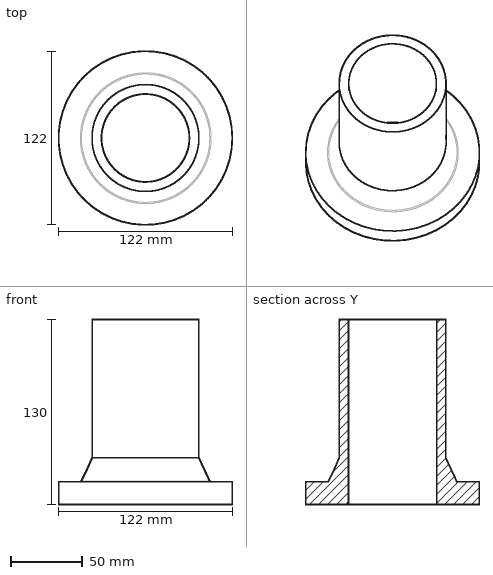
import cadquery as cq
import math

total_height = 130.0
flange_diameter = 122.0
flange_thickness = 16.2
pipe_diameter = 75.0
bore_diameter = 61.5

hub_top = 32.9
hub_angle = 25.0
foot_fillet_radius = 1.0

flange_radius = flange_diameter / 2
pipe_radius = pipe_diameter / 2
bore_radius = bore_diameter / 2
hub_height = hub_top - flange_thickness
hub_radius = pipe_radius + hub_height * math.tan(math.radians(hub_angle))

half_section = (
    cq.Workplane("XZ")
    .moveTo(bore_radius, 0)
    .lineTo(flange_radius, 0)
    .lineTo(flange_radius, flange_thickness)
    .lineTo(hub_radius, flange_thickness)
    .lineTo(pipe_radius, hub_top)
    .lineTo(pipe_radius, total_height)
    .lineTo(bore_radius, total_height)
    .close()
)
body = half_section.revolve(360, (0, 0, 0), (0, 1, 0))

flange_top_circles = body.edges(cq.selectors.BoxSelector(
    (-flange_diameter, -flange_diameter, flange_thickness - foot_fillet_radius),
    (flange_diameter, flange_diameter, flange_thickness + foot_fillet_radius),
)).edges("%CIRCLE")
hub_foot = flange_top_circles.sort(lambda edge: edge.radius()).first()
result = hub_foot.fillet(foot_fillet_radius)